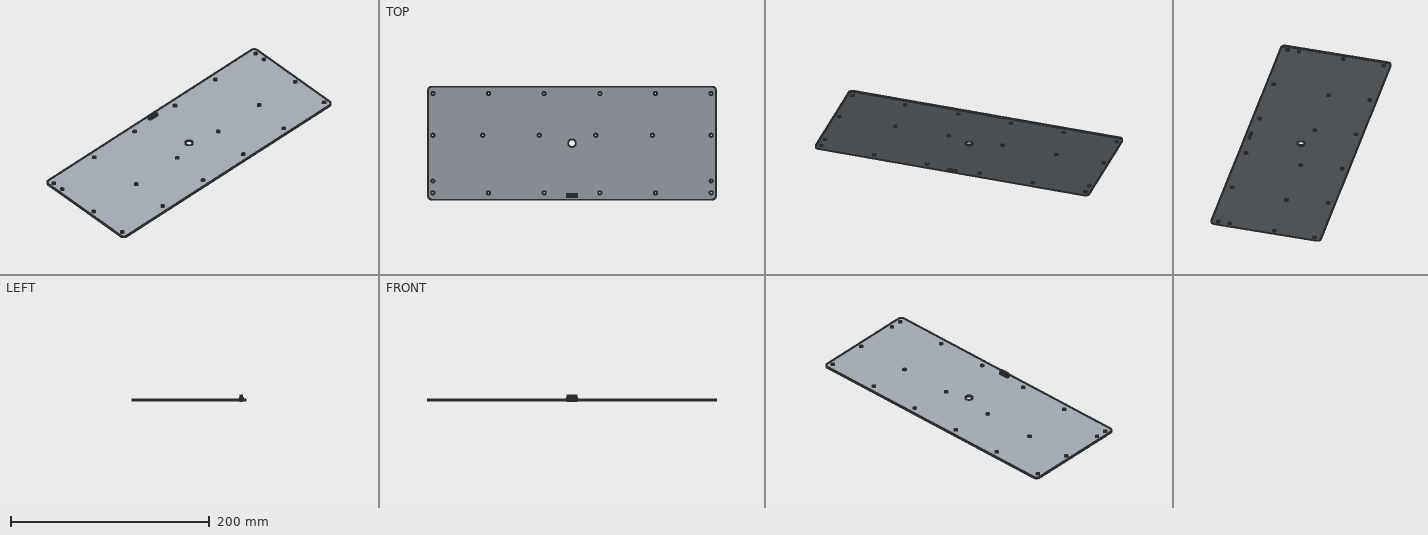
import cadquery as cq

PLATE_LENGTH = 290.0
PLATE_WIDTH = 114.0
PLATE_THICKNESS = 1.5
CORNER_RADIUS = 4.0
CENTRE_HOLE_DIAMETER = 7.5

EDGE_HOLE_DIAMETER = 3.2
EDGE_HOLE_COUNT = 6
EDGE_HOLE_X = 140.0
EDGE_ROW_INSET = 7.0
EDGE_ROW_Y = PLATE_WIDTH / 2 - EDGE_ROW_INSET
EDGE_HOLE_PITCH = 2 * EDGE_HOLE_X / (EDGE_HOLE_COUNT - 1)

MIDDLE_HOLE_DIAMETER = 3.2
MIDDLE_HOLE_COUNT = 4
MIDDLE_FIRST_X = -90.0
MIDDLE_LAST_X = 81.0
MIDDLE_HOLE_PITCH = (MIDDLE_LAST_X - MIDDLE_FIRST_X) / (MIDDLE_HOLE_COUNT - 1)
MIDDLE_ROW_SPACING = 42.0
MIDDLE_ROW_Y = EDGE_ROW_Y - MIDDLE_ROW_SPACING

LOCATING_HOLE_DIAMETER = 3.0
LOCATING_HOLE_Y = -38.0

PIN_COLUMNS = 8
PIN_ROWS = 2
PIN_PITCH = 1.28
PIN_DIAMETER = 0.65
HEADER_HEIGHT = 6.5
HEADER_Y = -52.8
PIN_TAIL = 0.75
HOUSING_LENGTH = PIN_COLUMNS * PIN_PITCH
HOUSING_WIDTH = 3.5
HOUSING_HEIGHT = 1.2
HOUSING_GAP = 0.3
HOUSING_BASE_Z = PLATE_THICKNESS + HOUSING_GAP


def pin_positions(sketch_plane):
    """Place the pin centres on a workplane, in two rows along X."""
    return sketch_plane.center(0, HEADER_Y).rarray(PIN_PITCH, PIN_PITCH, PIN_COLUMNS, PIN_ROWS)


def drill(body, points, diameter):
    """Cut round through holes at the given points of the plate."""
    cutters = cq.Workplane("XY").pushPoints(points).circle(diameter / 2).extrude(PLATE_THICKNESS)
    return body.cut(cutters)


def make_plate():
    """Rounded rectangular plate with its screw holes and pin holes."""
    body = cq.Workplane("XY").box(PLATE_LENGTH, PLATE_WIDTH, PLATE_THICKNESS, centered=(True, True, False))
    body = body.edges("|Z").fillet(CORNER_RADIUS)
    body = drill(body, [(0, 0)], CENTRE_HOLE_DIAMETER)

    edge_holes = [
        (-EDGE_HOLE_X + column * EDGE_HOLE_PITCH, y)
        for column in range(EDGE_HOLE_COUNT)
        for y in (-EDGE_ROW_Y, EDGE_ROW_Y)
    ]
    side_holes = [(x, MIDDLE_ROW_Y) for x in (-EDGE_HOLE_X, EDGE_HOLE_X)]
    body = drill(body, edge_holes + side_holes, EDGE_HOLE_DIAMETER)

    middle_holes = [
        (MIDDLE_FIRST_X + column * MIDDLE_HOLE_PITCH, MIDDLE_ROW_Y)
        for column in range(MIDDLE_HOLE_COUNT)
    ]
    body = drill(body, middle_holes, MIDDLE_HOLE_DIAMETER)

    locating_holes = [(x, LOCATING_HOLE_Y) for x in (-EDGE_HOLE_X, EDGE_HOLE_X)]
    body = drill(body, locating_holes, LOCATING_HOLE_DIAMETER)

    pin_holes = pin_positions(cq.Workplane("XY")).circle(PIN_DIAMETER / 2).extrude(PLATE_THICKNESS)
    return body.cut(pin_holes)


def make_header():
    """Housing and its pins, as one solid carried just above the plate by the pins."""
    housing = (
        cq.Workplane("XY", origin=(0, HEADER_Y, HOUSING_BASE_Z))
        .box(HOUSING_LENGTH, HOUSING_WIDTH, HOUSING_HEIGHT, centered=(True, True, False))
    )
    pins = pin_positions(cq.Workplane("XY").workplane(offset=-PIN_TAIL))
    pins = pins.circle(PIN_DIAMETER / 2).extrude(HEADER_HEIGHT)
    return housing.union(pins)


plate = make_plate()
header = make_header()

result = cq.Compound.makeCompound([plate.val(), header.val()])